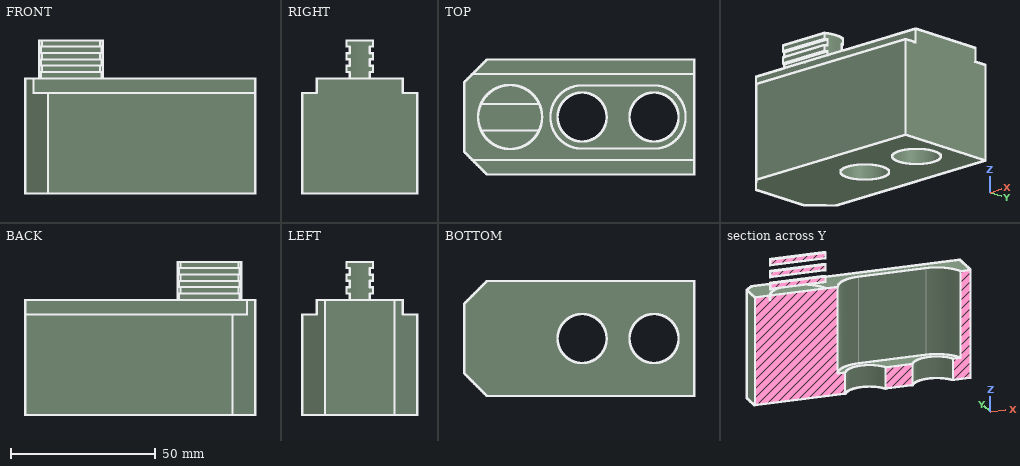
import cadquery as cq

length = 80.0
width = length / 2
block_height = 40.0
nose_chamfer = 8.0
shoulder = 5.0

grip_x = 16.0
grip_diameter = 22.2
grip_width = 9.2
grip_core_width = 7.0
grip_bands = 6
grip_height = 13.2
band_height = grip_height / grip_bands

gap_width = 0.1
gap_depth = 1.6

pocket_width = 22.0
pocket_depth = 32.0
hole_diameter = 17.0
hole_spacing = 25.0
pocket_end_wall = 3.0
last_hole_x = length - pocket_end_wall - pocket_width / 2
first_hole_x = last_hole_x - hole_spacing
pocket_x = (first_hole_x + last_hole_x) / 2


def make_block():
    """Block with a chamfered nose and a stepped shoulder along each side."""
    block = cq.Workplane("XY").box(length, width, block_height, centered=(False, True, False))
    block = block.edges("|Z and <X").chamfer(nose_chamfer)
    for side in (-1, 1):
        step = (
            cq.Workplane("XY")
            .box(length, shoulder, shoulder, centered=(False, True, False))
            .translate((0, side * (width - shoulder) / 2, block_height - shoulder))
        )
        block = block.cut(step)
    return block


def cut_pocket(block):
    """Cut the oblong pocket and the two through holes in its floor."""
    pocket = (
        cq.Workplane("XY", origin=(pocket_x, 0, block_height))
        .slot2D(hole_spacing + pocket_width, pocket_width)
        .extrude(-pocket_depth)
    )
    holes = (
        cq.Workplane("XY")
        .pushPoints([(first_hole_x, 0), (last_hole_x, 0)])
        .circle(hole_diameter / 2)
        .extrude(block_height)
    )
    return block.cut(pocket).cut(holes)


def make_gap():
    """Thin ring that separates the plug from the top of the block."""
    return (
        cq.Workplane("XY", origin=(grip_x, 0, block_height))
        .circle(grip_diameter / 2 + gap_width)
        .circle(grip_diameter / 2)
        .extrude(-gap_depth)
    )


def make_grip():
    """Stack of wide and narrow flats trimmed to the round of the plug."""
    grip = cq.Workplane("XY", origin=(grip_x, 0, block_height)).circle(grip_diameter / 2).extrude(grip_height)
    flats = cq.Workplane("XY")
    for band in range(grip_bands):
        band_width = grip_core_width if band % 2 == 0 else grip_width
        slab = (
            cq.Workplane("XY")
            .box(grip_diameter, band_width, band_height, centered=(True, True, False))
            .translate((grip_x, 0, block_height + band * band_height))
        )
        flats = flats.union(slab)
    return grip.intersect(flats)


result = cut_pocket(make_block()).cut(make_gap()).union(make_grip())